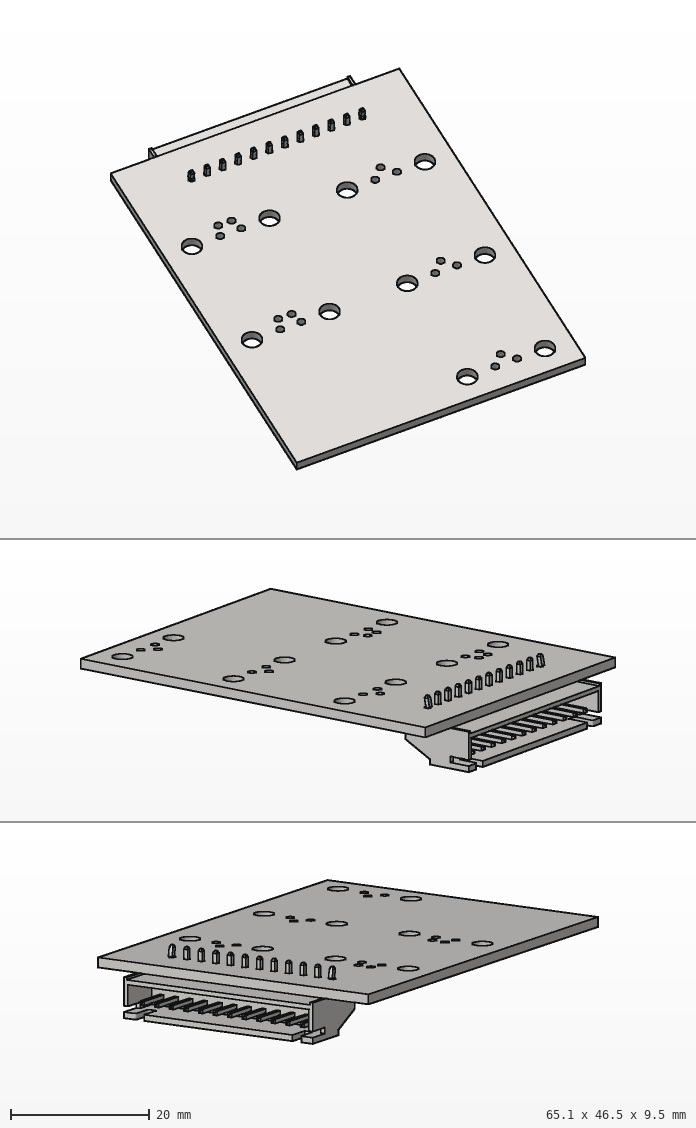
import cadquery as cq

BOARD_LENGTH = 62.0
BOARD_WIDTH = 46.48
BOARD_THICKNESS = 1.5

MOUNT_HOLE_DIAMETER = 3.0
MOUNT_HOLE_PITCH = 12.5
LEAD_HOLE_DIAMETER = 1.2
COLUMN_PITCH = 20.0
ROW_PITCH = 2 * MOUNT_HOLE_PITCH
FIRST_COLUMN_X = 17.8 - BOARD_LENGTH / 2
UPPER_ROW_COLUMNS = 3
LOWER_ROW_COLUMNS = 2
THREE_LEAD_OFFSETS = [(0, 1.75), (-1.8, 0), (0, -1.75)]
FOUR_LEAD_OFFSETS = [(0, 1.7), (-1.95, 1.08), (-1.95, -1.08), (0, -1.7)]

HOUSING_DEPTH = 11.4
HOUSING_WIDTH = 32.4
HOUSING_HEIGHT = 6.1
HOUSING_OVERHANG = 3.08
HOUSING_CENTRE_Y = 0.6
BOARD_CLEARANCE = 0.1
SIDE_WALL = 0.68
FLOOR = 0.93
ROOF = 0.7
STANDOFF_WIDTH = 0.45
STANDOFF_HEIGHT = 0.35
CAVITY_DEPTH = 6.4
FOOT_LENGTH = 7.0
FOOT_HEIGHT = 0.8
REAR_EDGE_HEIGHT = 3.1
SLOT_LENGTH = 3.3
SIDE_SLOT_HEIGHT = 0.9
ARM_WIDTH = 2.05
ARM_ROOT_RADIUS = 0.45
ARM_TIP_RADIUS = 0.3
FLOOR_INSET = 3.45

PIN_COUNT = 12
PIN_PITCH = 2.5
PIN_SIZE = 0.64
PIN_HOLE_DIAMETER = 0.95
PIN_FROM_FRONT = 9.2
POST_HEIGHT = 3.4
TIP_LENGTH = 0.35
TIP_SIZE = 0.3
CONTACT_HEIGHT = 2.3
CONTACT_INSET = 0.8
KINK_OFFSET = 0.25
KINK_RISE = 0.15

FRONT_X = -BOARD_LENGTH / 2 - HOUSING_OVERHANG
TOP_Z = -BOARD_CLEARANCE
BOTTOM_Z = TOP_Z - HOUSING_HEIGHT
FLOOR_Z = BOTTOM_Z + FLOOR
ROOF_Z = TOP_Z - STANDOFF_HEIGHT
CONTACT_Z = BOTTOM_Z + CONTACT_HEIGHT
CONTACT_FRONT_X = FRONT_X + CONTACT_INSET
PIN_X = FRONT_X + PIN_FROM_FRONT
PIN_TOP_Z = TOP_Z + POST_HEIGHT
SHOULDER_Z = PIN_TOP_Z - TIP_LENGTH
PIN_YS = [HOUSING_CENTRE_Y + (i - (PIN_COUNT - 1) / 2) * PIN_PITCH for i in range(PIN_COUNT)]


def block(x_range, y_range, z_range):
    """Box given by its (low, high) limits along each axis."""
    sizes = [high - low for low, high in (x_range, y_range, z_range)]
    corner = (x_range[0], y_range[0], z_range[0])
    return cq.Workplane("XY").box(*sizes, centered=False).translate(corner)


def across_housing(half_width):
    """Y limits of a feature centred on the housing."""
    return (HOUSING_CENTRE_Y - half_width, HOUSING_CENTRE_Y + half_width)


def drill(board, points, diameter):
    holes = cq.Workplane("XY").pushPoints(points).circle(diameter / 2).extrude(BOARD_THICKNESS)
    return board.cut(holes)


def drill_station(board, x, y, lead_offsets):
    mounts = [(x, y + side * MOUNT_HOLE_PITCH / 2) for side in (-1, 1)]
    leads = [(x + dx, y + dy) for dx, dy in lead_offsets]
    board = drill(board, mounts, MOUNT_HOLE_DIAMETER)
    return drill(board, leads, LEAD_HOLE_DIAMETER)


def make_board():
    board = cq.Workplane("XY").box(
        BOARD_LENGTH, BOARD_WIDTH, BOARD_THICKNESS, centered=(True, True, False)
    )
    rows = [
        (ROW_PITCH / 2, UPPER_ROW_COLUMNS, THREE_LEAD_OFFSETS),
        (-ROW_PITCH / 2, LOWER_ROW_COLUMNS, FOUR_LEAD_OFFSETS),
    ]
    for row_y, columns, lead_offsets in rows:
        for column in range(columns):
            station_x = FIRST_COLUMN_X + column * COLUMN_PITCH
            board = drill_station(board, station_x, row_y, lead_offsets)
    return drill(board, [(PIN_X, y) for y in PIN_YS], PIN_HOLE_DIAMETER)


def housing_blank():
    """Side profile extruded across the full housing width."""
    rear_x = FRONT_X + HOUSING_DEPTH
    foot_x = FRONT_X + FOOT_LENGTH
    profile = [
        (FRONT_X, BOTTOM_Z),
        (foot_x, BOTTOM_Z),
        (foot_x, BOTTOM_Z + FOOT_HEIGHT),
        (rear_x, BOTTOM_Z + REAR_EDGE_HEIGHT),
        (rear_x, TOP_Z),
        (FRONT_X, TOP_Z),
    ]
    return (
        cq.Workplane("XZ", origin=(0, HOUSING_CENTRE_Y, 0))
        .polyline(profile)
        .close()
        .extrude(HOUSING_WIDTH / 2, both=True)
    )


def cut_floor_slot(housing, side):
    """Slot that parts an end arm from the floor, rounded at the arm's root and at its tip."""
    arm_y = HOUSING_CENTRE_Y + side * (HOUSING_WIDTH / 2 - ARM_WIDTH)
    floor_y = HOUSING_CENTRE_Y + side * (HOUSING_WIDTH / 2 - FLOOR_INSET)
    root_x = FRONT_X + SLOT_LENGTH
    mid_z = BOTTOM_Z + FLOOR / 2
    arm_root = cq.selectors.NearestToPointSelector((root_x, arm_y, mid_z))
    arm_tip = cq.selectors.NearestToPointSelector((FRONT_X, arm_y, mid_z))
    slot = block((FRONT_X, root_x), sorted((arm_y, floor_y)), (BOTTOM_Z, FLOOR_Z))
    slot = slot.edges(arm_root).fillet(ARM_ROOT_RADIUS)
    return housing.cut(slot).edges(arm_tip).fillet(ARM_TIP_RADIUS)


def make_housing():
    half_width = HOUSING_WIDTH / 2
    recess_y = across_housing(half_width - STANDOFF_WIDTH)
    cavity_y = across_housing(half_width - SIDE_WALL)
    full_y = across_housing(half_width)

    top_recess = block((FRONT_X, FRONT_X + HOUSING_DEPTH), recess_y, (ROOF_Z, TOP_Z))
    cavity = block((FRONT_X, FRONT_X + CAVITY_DEPTH), cavity_y, (FLOOR_Z, ROOF_Z - ROOF))
    side_slot = block(
        (FRONT_X, FRONT_X + SLOT_LENGTH), full_y, (FLOOR_Z, FLOOR_Z + SIDE_SLOT_HEIGHT)
    )
    housing = housing_blank().cut(top_recess).cut(cavity).cut(side_slot)
    for side in (-1, 1):
        housing = cut_floor_slot(housing, side)
    return housing


def tapered_tip(plane):
    """Pyramid frustum that ends a square pin, pointing along the plane normal."""
    return (
        cq.Workplane(plane)
        .rect(PIN_SIZE, PIN_SIZE)
        .workplane(offset=TIP_LENGTH)
        .rect(TIP_SIZE, TIP_SIZE)
        .loft()
    )


def make_pin(y, kink):
    """Bent pin: a contact along X and a post along Z, the post jogged toward -X by the kink."""
    half = PIN_SIZE / 2
    contact = block(
        (CONTACT_FRONT_X + TIP_LENGTH, PIN_X + half),
        (y - half, y + half),
        (CONTACT_Z - half, CONTACT_Z + half),
    )
    centreline = [(PIN_X, CONTACT_Z), (PIN_X, BOARD_THICKNESS)]
    if kink:
        centreline.append((PIN_X - kink, BOARD_THICKNESS + KINK_RISE))
    centreline.append((PIN_X, SHOULDER_Z))
    left_side = [(x - half, z) for x, z in centreline]
    right_side = [(x + half, z) for x, z in reversed(centreline)]
    post = (
        cq.Workplane("XZ", origin=(0, y, 0))
        .polyline(left_side + right_side)
        .close()
        .extrude(half, both=True)
    )
    contact_tip = tapered_tip(
        cq.Plane((CONTACT_FRONT_X + TIP_LENGTH, y, CONTACT_Z), xDir=(0, 1, 0), normal=(-1, 0, 0))
    )
    post_tip = tapered_tip(cq.Plane((PIN_X, y, SHOULDER_Z)))
    return contact.union(post).union(contact_tip).union(post_tip)


def make_connector():
    """Housing and its fixed pins as one body; only the two end pins are kinked."""
    connector = make_housing()
    end_pins = (PIN_YS[0], PIN_YS[-1])
    for y in PIN_YS:
        kink = KINK_OFFSET if y in end_pins else 0
        connector = connector.union(make_pin(y, kink))
    return connector


board = make_board()
connector = make_connector()
result = cq.Compound.makeCompound([board.val(), connector.val()])